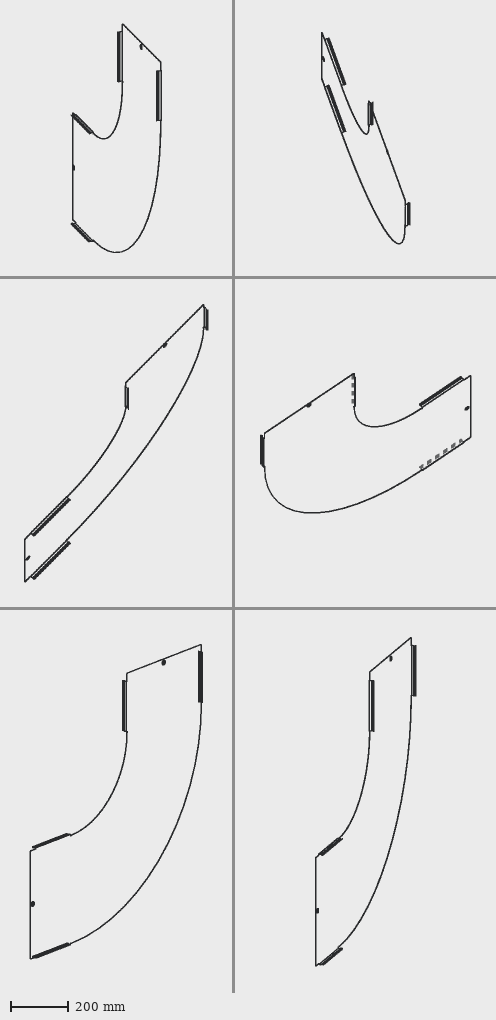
import cadquery as cq
import math

straight_length = 220.0
inner_radius = 297.7
outer_radius = 696.5
corner_chamfer = 2.5
sheet = 2.1
overall_size = 920.4
overall_depth = 17.63

flange_start = 30.0
flange_end = 215.0
flange_overhang = overall_size - straight_length - outer_radius
flange_sheet = 0.8
joggle_depth = 9.2
joggle_inset = 2.8

relief_length = 3.0
relief_depth = 1.5

screw_setback = 14.5
head_diameter = 17.0
head_height = 1.2
crown_diameter = 11.0
crown_height = 0.8
slot_width = 2.0
slot_depth = 0.8

centre_radius = (inner_radius + outer_radius) / 2
half_width = (outer_radius - inner_radius) / 2
flange_length = flange_end - flange_start


def make_plate():
    """Quarter-bend sheet with a straight run to -X and a straight run to +Z."""
    diagonal = math.sqrt(0.5)
    plate = (
        cq.Workplane("XZ")
        .moveTo(-straight_length, -outer_radius)
        .lineTo(0, -outer_radius)
        .threePointArc((outer_radius * diagonal, -outer_radius * diagonal), (outer_radius, 0))
        .lineTo(outer_radius, straight_length)
        .lineTo(inner_radius, straight_length)
        .lineTo(inner_radius, 0)
        .threePointArc((inner_radius * diagonal, -inner_radius * diagonal), (0, -inner_radius))
        .lineTo(-straight_length, -inner_radius)
        .close()
        .extrude(sheet)
    )
    return plate.edges("|Y").edges("<X or >Z").chamfer(corner_chamfer)


def make_outer_flange():
    """Clip flange of the +Z run on the side away from the bend centre."""
    wall = half_width + flange_overhang
    outside = [
        (wall, -joggle_depth),
        (wall - joggle_inset, -joggle_depth - joggle_inset),
        (wall - joggle_inset, -overall_depth + joggle_inset),
        (wall, -overall_depth),
    ]
    inside = [(x - flange_sheet, y) for x, y in reversed(outside)]
    profile = [(half_width - sheet, 0), (wall, 0)]
    profile += outside + inside
    profile += [(wall - flange_sheet, -sheet), (half_width - sheet, -sheet)]
    return (
        cq.Workplane("XY")
        .polyline(profile)
        .close()
        .extrude(flange_length)
        .translate((centre_radius, 0, straight_length - flange_end))
    )


def make_outer_relief():
    """Cutter for the notch between the outer flange of the +Z run and the curved edge."""
    notch = cq.Workplane("XY").box(relief_depth, sheet, relief_length, centered=False)
    notch_start = straight_length - flange_end - relief_length
    return notch.translate((outer_radius - relief_depth, -sheet, notch_start))


def make_screw():
    """Slotted screw head with a raised crown, on the inner face of the +Z run."""
    crown_face = sheet + head_height + crown_height
    head = cq.Workplane("XZ").circle(head_diameter / 2).extrude(sheet + head_height)
    crown = cq.Workplane("XZ").circle(crown_diameter / 2).extrude(crown_face)
    slot = (
        cq.Workplane("XZ", origin=(0, -crown_face, 0))
        .rect(crown_diameter, slot_width)
        .extrude(-slot_depth)
    )
    return head.union(crown).cut(slot).translate((centre_radius, 0, straight_length - screw_setback))


def swap_runs(body):
    """Mirror a body from the +Z run to the -X run, across the plane X = -Z."""
    return body.mirror("XY").rotate((0, 0, 0), (0, 1, 0), 90)


outer_flange = make_outer_flange()
inner_flange = outer_flange.mirror("YZ", (centre_radius, 0, 0))

outer_relief = make_outer_relief()
inner_relief = outer_relief.mirror("YZ", (centre_radius, 0, 0))

result = make_plate()
for notch in (outer_relief, inner_relief):
    result = result.cut(notch).cut(swap_runs(notch))
for fitting in (outer_flange, inner_flange, make_screw()):
    result = result.union(fitting).union(swap_runs(fitting))